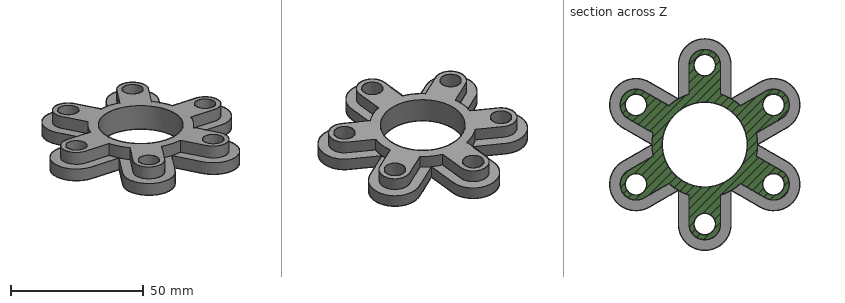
import cadquery as cq

outer_diameter = 80.0
lower_arm_width = 20.0
rim_step = 4.0
total_height = 10.0
hub_diameter = 40.0
bore_diameter = 32.0
arm_hole_diameter = 8.0
arm_count = 6

layer_height = total_height / 2
upper_arm_width = lower_arm_width - 2 * rim_step
arm_length = (outer_diameter - lower_arm_width) / 2
arm_pitch_angle = 360 / arm_count
first_arm_angle = 90


def arm_star(width):
    """One layer of round-ended arms, all starting at the part axis."""
    arm = (
        cq.Workplane("XY")
        .center(arm_length / 2, 0)
        .slot2D(arm_length + width, width)
        .extrude(layer_height)
    )
    star = cq.Workplane("XY")
    for index in range(arm_count):
        angle = first_arm_angle + index * arm_pitch_angle
        star = star.union(arm.rotate((0, 0, 0), (0, 0, 1), angle))
    return star


lower_layer = arm_star(lower_arm_width)
hub = cq.Workplane("XY").circle(hub_diameter / 2).extrude(layer_height)
upper_layer = arm_star(upper_arm_width).union(hub).translate((0, 0, layer_height))
body = lower_layer.union(upper_layer)

bore = cq.Workplane("XY").circle(bore_diameter / 2).extrude(total_height)
arm_holes = (
    cq.Workplane("XY")
    .polarArray(arm_length, first_arm_angle, 360, arm_count)
    .circle(arm_hole_diameter / 2)
    .extrude(total_height)
)

result = body.cut(bore).cut(arm_holes)